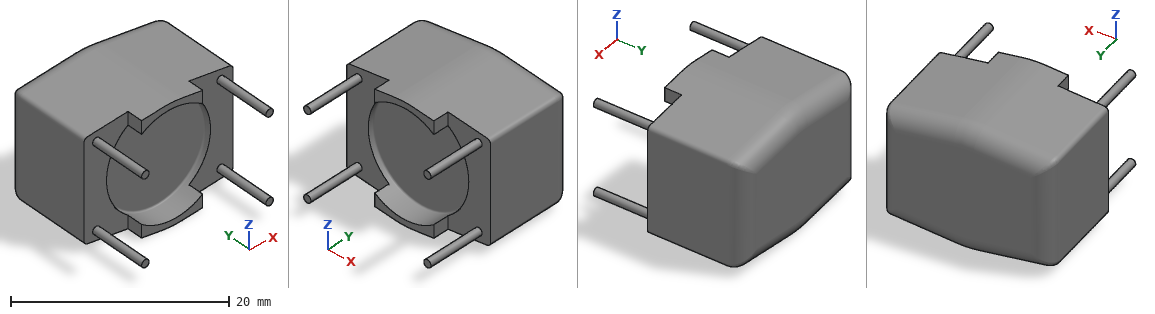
import cadquery as cq
import math

half_width = 9.0
side_half_height = 6.0
crown_half_height = 6.98
crown_half_span = 1.2
corner_radius = 0.5

overall_depth = 17.9
housing_depth = 10.98
tab_length = 1.93
back_radius = 2.0
front_y = overall_depth / 2 - housing_depth
pin_length = overall_depth - housing_depth

tab_half_width = 3.69

recess_radius = 6.28
recess_depth = 0.7
recess_floor_fillet = 0.2

pin_radius = 0.45
pin_x = 7.5
pin_z = 5.0

slope_angle = math.atan((crown_half_height - side_half_height) / (half_width - crown_half_span / 2))
crown_rise = crown_half_span * math.tan(slope_angle / 2)
crown_edge_height = crown_half_height - crown_rise


def extrude_back(profile_y, depth):
    """Solid with the housing outline, running from profile_y towards +Y."""
    return (
        cq.Workplane("XZ", origin=(0, profile_y, 0))
        .moveTo(-half_width, -side_half_height)
        .lineTo(-crown_half_span, -crown_edge_height)
        .threePointArc((0, -crown_half_height), (crown_half_span, -crown_edge_height))
        .lineTo(half_width, -side_half_height)
        .lineTo(half_width, side_half_height)
        .lineTo(crown_half_span, crown_edge_height)
        .threePointArc((0, crown_half_height), (-crown_half_span, crown_edge_height))
        .lineTo(-half_width, side_half_height)
        .close()
        .extrude(-depth)
    )


def make_housing():
    """Housing with a rounded back and rounded long corners."""
    housing = extrude_back(front_y, housing_depth).faces(">Y").edges().fillet(back_radius)
    long_edges = housing.edges("|Y").edges("<X or >X")
    return long_edges.fillet(corner_radius)


def make_tabs():
    """Upper and lower tabs that carry the outline forward of the front face."""
    middle_slab = cq.Workplane("XY").box(2 * tab_half_width, 2 * overall_depth, 2 * crown_half_height)
    return extrude_back(front_y - tab_length, tab_length).intersect(middle_slab)


def make_recess():
    """Round cutter that also hollows the tabs, with a filleted floor edge."""
    return (
        cq.Workplane("XZ", origin=(0, front_y + recess_depth, 0))
        .circle(recess_radius)
        .extrude(recess_depth + tab_length)
        .faces(">Y")
        .edges()
        .fillet(recess_floor_fillet)
    )


def make_pins():
    """Four round pins standing on the front face."""
    return (
        cq.Workplane("XZ", origin=(0, front_y, 0))
        .rect(2 * pin_x, 2 * pin_z, forConstruction=True)
        .vertices()
        .circle(pin_radius)
        .extrude(pin_length)
    )


result = make_housing().union(make_tabs()).cut(make_recess()).union(make_pins())